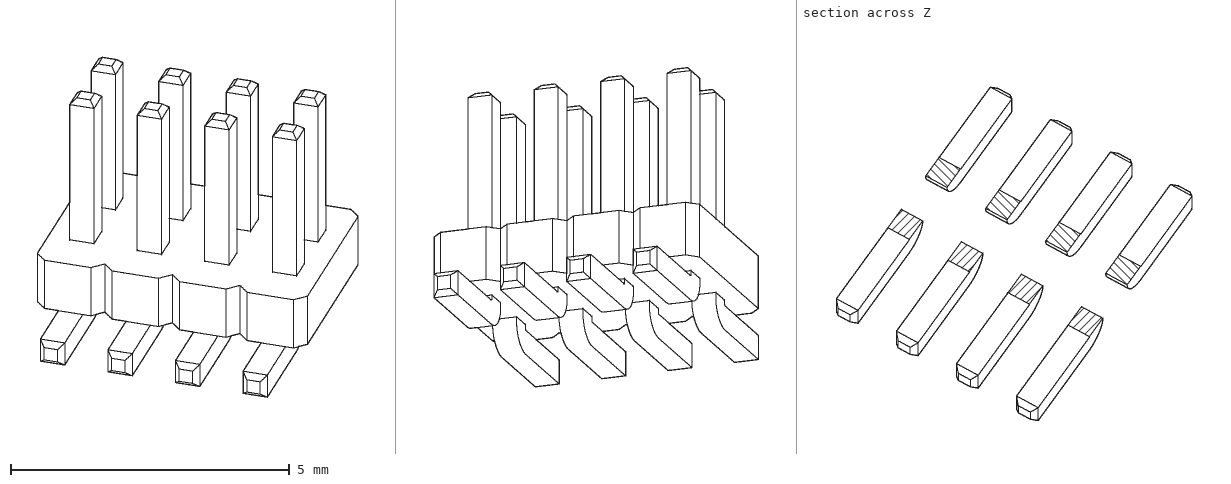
import cadquery as cq


columns = 4
block_length = 5.08
pitch = block_length / columns
overall_width = 5.4
overall_height = 4.46

block_width = 3.4
block_height = 1.0
notch = 0.2
foot_clearance = 0.1

pin_side = 0.46
tip_chamfer = 0.1
inner_bend_radius = 0.02
outer_bend_radius = inner_bend_radius + pin_side

block_bottom = pin_side + foot_clearance
column_positions = [(i - (columns - 1) / 2) * pitch for i in range(columns)]
row_offset = pitch / 2


def make_block():
    """Block whose long sides step in at 45 degrees between columns and at the corners."""
    half_width = block_width / 2
    half_flat = pitch / 2 - notch

    front_side = []
    for x in column_positions:
        front_side.append((x - pitch / 2, notch - half_width))
        front_side.append((x - half_flat, -half_width))
        front_side.append((x + half_flat, -half_width))
    front_side.append((block_length / 2, notch - half_width))
    back_side = [(-x, -y) for x, y in front_side]

    body = (
        cq.Workplane("XY", origin=(0, 0, block_bottom))
        .polyline(front_side + back_side)
        .close()
        .extrude(block_height)
    )
    pin_places = [(x, side * row_offset) for x in column_positions for side in (-1, 1)]
    pin_holes = (
        cq.Workplane("XY", origin=(0, 0, block_bottom))
        .pushPoints(pin_places)
        .rect(pin_side, pin_side)
        .extrude(block_height)
    )
    return body.cut(pin_holes)


def make_pin(x, side):
    """L-shaped pin with its post in column x and its foot pointing outward.

    side is -1 for the -Y row and +1 for the +Y row.
    """
    inner_face = side * (row_offset - pin_side / 2)
    outer_face = side * (row_offset + pin_side / 2)
    foot_tip = side * overall_width / 2

    pin = (
        cq.Workplane("YZ", origin=(x, 0, 0))
        .moveTo(inner_face, overall_height)
        .lineTo(outer_face, overall_height)
        .lineTo(outer_face, pin_side)
        .lineTo(foot_tip, pin_side)
        .lineTo(foot_tip, 0)
        .lineTo(inner_face, 0)
        .close()
        .extrude(pin_side / 2, both=True)
    )
    inside_corner = cq.selectors.NearestToPointSelector((x, outer_face, pin_side))
    outside_corner = cq.selectors.NearestToPointSelector((x, inner_face, 0))
    pin = pin.edges("|X").edges(inside_corner).fillet(inner_bend_radius)
    pin = pin.edges("|X").edges(outside_corner).fillet(outer_bend_radius)

    foot_end = ">Y" if side > 0 else "<Y"
    pin = pin.faces(">Z").chamfer(tip_chamfer)
    return pin.faces(foot_end).chamfer(tip_chamfer)


block = make_block()
pins = [make_pin(x, side) for x in column_positions for side in (-1, 1)]

result = cq.Compound.makeCompound([block.val(), *[pin.val() for pin in pins]])